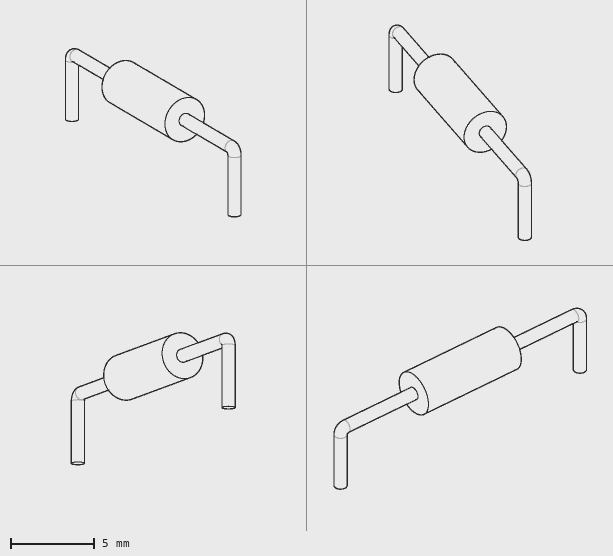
import cadquery as cq

span = 19.12
body_diameter = 2.8
body_length = 7.11
wire_diameter = 0.8
overall_height = 5.6
inner_bend_radius = 0.01

wire_radius = wire_diameter / 2
body_end = body_length / 2
leg_x = span / 2 - wire_radius
bend_radius = wire_radius + inner_bend_radius
bend_x = leg_x - bend_radius
leg_tip_z = body_diameter / 2 - overall_height
leg_length = -bend_radius - leg_tip_z


def make_body():
    """Plain cylinder centred on the origin."""
    return (
        cq.Workplane("YZ", origin=(-body_end, 0, 0))
        .circle(body_diameter / 2)
        .extrude(body_length)
    )


def make_lead(side):
    """Round wire from one body end (side = -1 or 1), bent down into a leg."""
    straight = (
        cq.Workplane("YZ", origin=(body_end, 0, 0))
        .circle(wire_radius)
        .extrude(bend_x - body_end)
    )
    bend = (
        cq.Workplane("YZ", origin=(bend_x, 0, 0))
        .circle(wire_radius)
        .revolve(90, (0, -bend_radius), (1, -bend_radius))
    )
    leg = (
        cq.Workplane("XY", origin=(leg_x, 0, leg_tip_z))
        .circle(wire_radius)
        .extrude(leg_length)
    )
    lead = straight.union(bend).union(leg)
    return lead if side > 0 else lead.mirror("YZ")


body = make_body()
leads = [make_lead(side) for side in (-1, 1)]

result = cq.Compound.makeCompound([body.val(), *[lead.val() for lead in leads]])